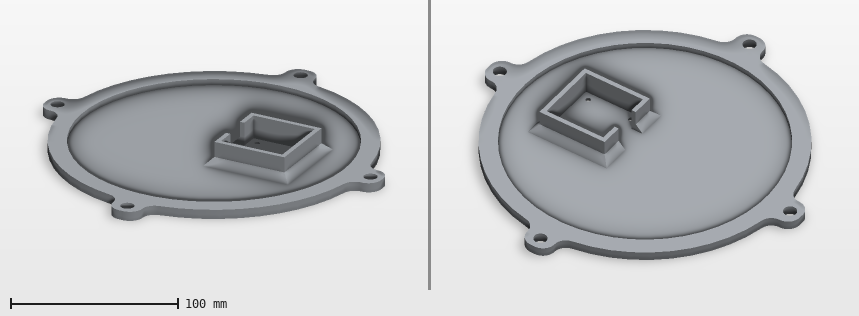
import cadquery as cq

overall_span = 230.0
total_height = 17.0
body_radius = 99.5
plate_thickness = 6.0
floor_thickness = 2.0
recess_diameter = 176.0

ear_count = 4
ear_width = 20.0
ear_corner_radius = 8.5
ear_root_radius = 8.3
ear_hole_diameter = 8.5
ear_hole_distance = 107.0
match_tolerance = 0.0529

frame_center = (36.0, 1.4)
frame_angle = 1.0
frame_side = 47.4
frame_wall = 3.0
skirt_size = 5.0
opening_width = 18.0
pin_hole_spacing = 31.0
pin_hole_diameter = 3.2


def ear_angles():
    return [i * 360 / ear_count for i in range(ear_count)]


def make_plate():
    """Round plate with blended ears, ear holes and a shallow round recess."""
    plate = cq.Workplane("XY").circle(body_radius).extrude(plate_thickness)
    ear_reach = overall_span / 2
    ear = (
        cq.Workplane("XY")
        .center(ear_reach / 2, 0)
        .rect(ear_reach, ear_width)
        .extrude(plate_thickness)
        .edges("|Z and >X")
        .fillet(ear_corner_radius)
    )
    for angle in ear_angles():
        plate = plate.union(ear.rotate((0, 0, 0), (0, 0, 1), angle))

    def on_body_circle(edge):
        center = edge.Center()
        return abs(center.x**2 + center.y**2 - body_radius**2) < match_tolerance

    root_edges = [edge for edge in plate.edges("|Z").vals() if on_body_circle(edge)]
    plate = plate.newObject(root_edges).fillet(ear_root_radius)

    ear_holes = (
        cq.Workplane("XY")
        .polarArray(ear_hole_distance, 0, 360, ear_count)
        .circle(ear_hole_diameter / 2)
        .extrude(plate_thickness)
    )
    recess = (
        cq.Workplane("XY", origin=(0, 0, floor_thickness))
        .circle(recess_diameter / 2)
        .extrude(plate_thickness)
    )
    return plate.cut(ear_holes).cut(recess)


def make_frame():
    """Square frame with a sloping skirt outside and an opening on its -X side."""
    frame_height = total_height - floor_thickness
    inner_side = frame_side - 2 * frame_wall
    skirt_side = frame_side + 2 * skirt_size
    walls = cq.Workplane("XY").rect(frame_side, frame_side).extrude(frame_height)
    skirt = (
        cq.Workplane("XY")
        .rect(skirt_side, skirt_side)
        .workplane(offset=skirt_size)
        .rect(frame_side, frame_side)
        .loft(ruled=True)
    )
    cavity = cq.Workplane("XY").rect(inner_side, inner_side).extrude(frame_height)
    opening = (
        cq.Workplane("XY")
        .center(-skirt_side / 2, 0)
        .rect(skirt_side, opening_width)
        .extrude(frame_height)
    )
    return walls.union(skirt).cut(cavity).cut(opening)


def make_pin_holes():
    """Four small through holes inside the frame."""
    return (
        cq.Workplane("XY")
        .rect(pin_hole_spacing, pin_hole_spacing, forConstruction=True)
        .vertices()
        .circle(pin_hole_diameter / 2)
        .extrude(floor_thickness)
    )


def place_at_frame(shape, height):
    turned = shape.rotate((0, 0, 0), (0, 0, 1), frame_angle)
    return turned.translate((*frame_center, height))


result = (
    make_plate()
    .union(place_at_frame(make_frame(), floor_thickness))
    .cut(place_at_frame(make_pin_holes(), 0))
)